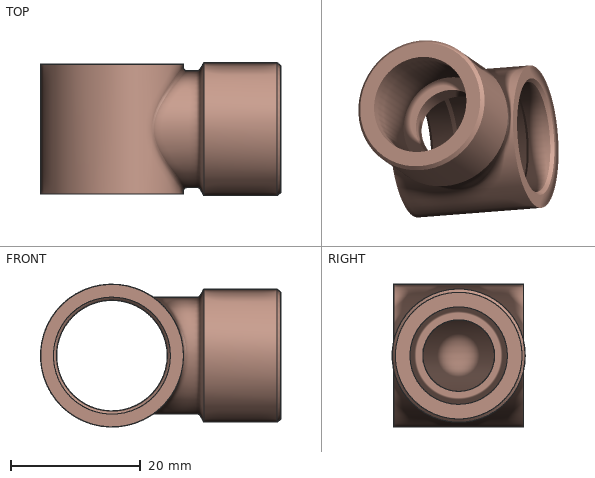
import cadquery as cq
import math

RING_DIAMETER = 22.0
RING_WIDTH = 20.0
RING_BORE_DIAMETER = 17.0
RING_MOUTH_DIAMETER = 18.0
RING_RECESS_DIAMETER = 18.0
RING_RECESS_WIDTH = 12.0

NECK_DIAMETER = 18.0
COLLAR_DIAMETER = 20.5
BRANCH_END = 26.0
COLLAR_START = 14.15
COLLAR_BACK_ANGLE = 60.0
COLLAR_CHAMFER_LENGTH = 0.6
COLLAR_CHAMFER_DEPTH = 0.5
FILLET_RADIUS = 0.5

PORT_DIAMETER = 11.0
SOCKET_DIAMETER = 15.0
SOCKET_START = 11.75

SELECTION_MARGIN = 0.1

ring_mouth_chamfer = (RING_MOUTH_DIAMETER - RING_BORE_DIAMETER) / 2


def cylinder_x(diameter, start, end):
    """Solid cylinder on the X axis between two X positions."""
    return cq.Workplane("YZ").workplane(offset=start).circle(diameter / 2).extrude(end - start)


def make_ring():
    """Solid ring body, centred on the origin along Y."""
    return cq.Workplane("XZ").circle(RING_DIAMETER / 2).extrude(RING_WIDTH / 2, both=True)


def make_branch():
    """Collar and neck as one turned solid, with a filleted cone between them."""
    neck_radius = NECK_DIAMETER / 2
    collar_radius = COLLAR_DIAMETER / 2
    angle = math.radians(COLLAR_BACK_ANGLE)
    cone_foot = COLLAR_START - (collar_radius - neck_radius) / math.tan(angle)
    tangent_length = FILLET_RADIUS * math.tan(angle / 2)
    fillet_start = cone_foot - tangent_length
    fillet_end = (
        cone_foot + tangent_length * math.cos(angle),
        neck_radius + tangent_length * math.sin(angle),
    )
    fillet_middle = (
        fillet_start + FILLET_RADIUS * math.sin(angle / 2),
        neck_radius + FILLET_RADIUS * (1 - math.cos(angle / 2)),
    )
    return (
        cq.Workplane("XY")
        .moveTo(0, 0)
        .lineTo(0, neck_radius)
        .lineTo(fillet_start, neck_radius)
        .threePointArc(fillet_middle, fillet_end)
        .lineTo(COLLAR_START, collar_radius)
        .lineTo(BRANCH_END - COLLAR_CHAMFER_LENGTH, collar_radius)
        .lineTo(BRANCH_END, collar_radius - COLLAR_CHAMFER_DEPTH)
        .lineTo(BRANCH_END, 0)
        .close()
        .revolve(360, (0, 0, 0), (1, 0, 0))
    )


def fillet_neck_joint(body):
    """Round the saddle-shaped edge where the neck leaves the ring."""
    ring_radius = RING_DIAMETER / 2
    half_width = RING_WIDTH / 2
    low = (0, -half_width + SELECTION_MARGIN, -ring_radius + SELECTION_MARGIN)
    high = (ring_radius + SELECTION_MARGIN, half_width - SELECTION_MARGIN, ring_radius - SELECTION_MARGIN)
    joint_box = cq.selectors.BoxSelector(low, high, boundingbox=True)
    return body.edges(joint_box).fillet(FILLET_RADIUS)


def make_ring_bore():
    """Through bore along Y with chamfered mouths and a wide recess with 45-degree walls."""
    bore_radius = RING_BORE_DIAMETER / 2
    mouth_radius = RING_MOUTH_DIAMETER / 2
    half_width = RING_WIDTH / 2
    bore_end = half_width - ring_mouth_chamfer
    recess_radius = RING_RECESS_DIAMETER / 2
    recess_end = RING_RECESS_WIDTH / 2
    recess_floor_end = recess_end - (recess_radius - bore_radius)
    return (
        cq.Workplane("XY")
        .polyline([
            (0, -half_width),
            (mouth_radius, -half_width),
            (bore_radius, -bore_end),
            (bore_radius, -recess_end),
            (recess_radius, -recess_floor_end),
            (recess_radius, recess_floor_end),
            (bore_radius, recess_end),
            (bore_radius, bore_end),
            (mouth_radius, half_width),
            (0, half_width),
        ])
        .close()
        .revolve(360, (0, 0, 0), (0, 1, 0))
    )


body = fillet_neck_joint(make_ring().union(make_branch()))
body = body.cut(make_ring_bore())
body = body.cut(cylinder_x(PORT_DIAMETER, 0, BRANCH_END))
result = body.cut(cylinder_x(SOCKET_DIAMETER, SOCKET_START, BRANCH_END))